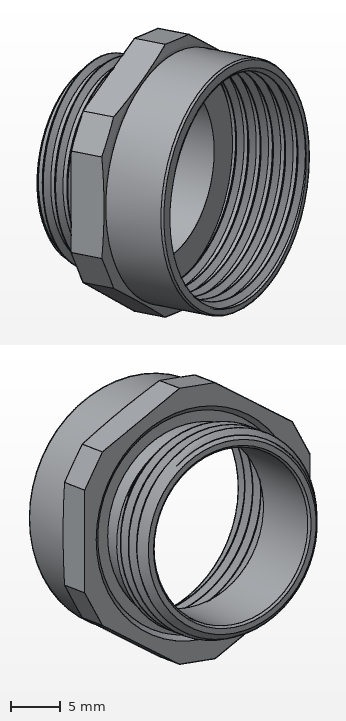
import cadquery as cq
import math


total_length = 17.5
male_thread_end = 4.85
nut_start = 6.5
nut_end = 10.5
socket_start = 8.5

bore_radius = 18.4 / 2
neck_radius = 20.82 / 2
collar_radius = 26.4 / 2
bore_chamfer = 0.23
neck_tip_radius = 10.05
collar_chamfer_length = 0.25
collar_chamfer_depth = 0.15

nut_height = 28.72
nut_width = 27.0
nut_cone_radius = nut_width / 2
nut_cone_angle = 15.0

recess_outer_radius = 12.12
recess_floor_radius = 11.6
recess_depth = 0.52

pitch = 1.5
thread_height = 0.63
thread_base = 1.03
thread_crest = 0.1
thread_overlap = 0.03
male_crest_at_top = 1.03
socket_radius = 12.5
socket_groove_at_top = 10.5


def revolved(points):
    """Solid of revolution about X from (x, radius) points."""
    return cq.Workplane("XY").polyline(points).close().revolve(360, (0, 0, 0), (1, 0, 0))


def cylinder(start, end, radius):
    return cq.Workplane("YZ", origin=(start, 0, 0)).circle(radius).extrude(end - start)


def thread_ridge(root_radius, base, crest, crest_at_top, length):
    """Outward helical ridge about X, long enough to span length from x = crest_at_top.

    Its crest passes +Z at x = crest_at_top.
    """
    crest_radius = root_radius + thread_height
    foot_radius = root_radius - thread_overlap
    flank_slope = (base - crest) / 2 / thread_height
    half_foot = base / 2 + thread_overlap * flank_slope
    half_crest = crest / 2
    profile = [
        (foot_radius, -half_foot),
        (crest_radius, -half_crest),
        (crest_radius, half_crest),
        (foot_radius, half_foot),
    ]
    turns = math.ceil(length / pitch)
    path = cq.Workplane(cq.Wire.makeHelix(pitch, turns * pitch, root_radius))
    ridge = cq.Workplane("XZ").polyline(profile).close().sweep(path, isFrenet=True)
    ridge = ridge.rotate((0, 0, 0), (1, 1, 1), 120)
    ridge = ridge.rotate((0, 0, 0), (1, 0, 0), 90)
    return ridge.translate((crest_at_top, 0, 0))


def hexagon(across_flats):
    corner_diameter = across_flats / math.cos(math.radians(30))
    return (
        cq.Workplane("YZ", origin=(nut_start, 0, 0))
        .polygon(6, corner_diameter)
        .extrude(nut_end - nut_start)
    )


def nut():
    body = hexagon(nut_height).intersect(hexagon(nut_width).rotate((0, 0, 0), (1, 0, 0), 30))
    cone_slope = math.tan(math.radians(nut_cone_angle))
    wide_radius = nut_cone_radius + (nut_end - nut_start) / cone_slope
    cone = revolved([(nut_start, 0), (nut_end, 0), (nut_end, nut_cone_radius), (nut_start, wide_radius)])
    recess = revolved([
        (nut_start, neck_radius),
        (nut_start, recess_outer_radius),
        (nut_start + recess_depth, recess_floor_radius),
        (nut_start + recess_depth, neck_radius),
    ])
    return body.intersect(cone).cut(recess)


def male_neck():
    """Threaded neck; one 45 degree cone chamfers both the tip and the first thread turn."""
    ridge_start = male_crest_at_top - 2 * pitch
    ridge_length = male_thread_end + pitch - ridge_start
    ridge = thread_ridge(neck_radius, thread_base, thread_crest, ridge_start, ridge_length)
    ridge = ridge.intersect(cylinder(-pitch, male_thread_end, nut_height / 2))
    neck = cylinder(-pitch, nut_end, neck_radius).union(ridge)
    envelope = revolved([
        (0, 0),
        (0, neck_tip_radius),
        (nut_end, neck_tip_radius + nut_end),
        (nut_end, 0),
    ])
    return neck.intersect(envelope)


def socket_cavity():
    """Threaded socket as a solid to cut away, reaching past the open end."""
    cavity_end = total_length + pitch
    groove_start = socket_groove_at_top - 3 * pitch
    groove_length = cavity_end + pitch - groove_start
    groove = thread_ridge(
        socket_radius - thread_height, pitch - thread_crest, pitch - thread_base,
        groove_start, groove_length,
    )
    groove = groove.intersect(cylinder(socket_start, cavity_end, collar_radius))
    return cylinder(socket_start, cavity_end, socket_radius - thread_height).union(groove)


collar = cylinder(nut_end, total_length, collar_radius)
collar = collar.faces(">X").edges().chamfer(collar_chamfer_length, collar_chamfer_depth)
bore = cylinder(0, total_length, bore_radius)
bore_lead_in = revolved([(0, 0), (0, bore_radius + bore_chamfer), (bore_chamfer, bore_radius), (bore_chamfer, 0)])

result = (
    male_neck()
    .union(nut())
    .union(collar)
    .cut(bore)
    .cut(bore_lead_in)
    .cut(socket_cavity())
)